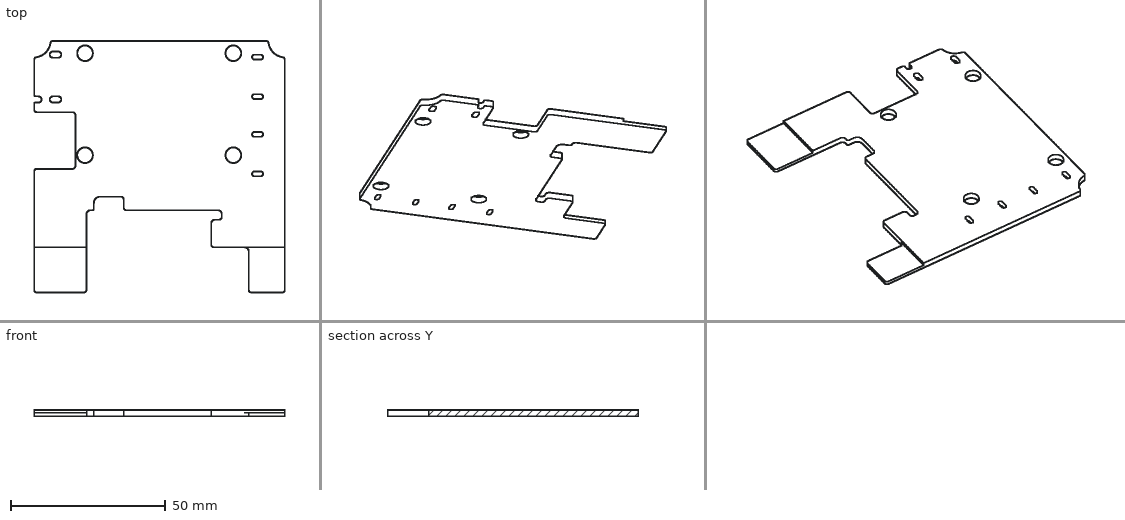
import cadquery as cq
import math

WIDTH = 81.206
DEPTH = 81.45
THICKNESS = 2.1
CORNER_RADIUS = 0.9

TAB_THICKNESS = 1.2
TAB_LENGTH = 14.6
LEFT_TAB_WIDTH = 17.0
RIGHT_TAB_WIDTH = 11.75

SCALLOP_RADIUS = 5.3

SIDE_CUTOUT_DEPTH = 13.35
SIDE_CUTOUT_FRONT = 40.05
SIDE_CUTOUT_BACK = 58.35

OPENING_BACK = 26.6
RECESS_LEFT = 19.4
RECESS_RIGHT = 29.0
RECESS_BACK = 31.0
RECESS_LARGE_RADIUS = 2.0
OPENING_RADIUS = 1.25
ARM_STEP_RADIUS = 0.5
SHOULDER_LEFT = 57.3
SHOULDER_BACK = 23.6
UNDERCUT_RIGHT = 60.75

HOLE_DIAMETER = 5.0
HOLE_SPACING_X = 48.0
HOLE_SPACING_Y = 33.0
HOLE_PATTERN_CENTER = (40.5, 60.95)

RIGHT_SLOT_LENGTH = 3.5
RIGHT_SLOT_WIDTH = 1.5
RIGHT_SLOT_X = 72.35
RIGHT_SLOT_ROW_CENTER_Y = 57.3
RIGHT_SLOT_INNER_OFFSET = 6.1
RIGHT_SLOT_OUTER_OFFSET = 18.9

LEFT_SLOT_LENGTH = 3.7
LEFT_SLOT_WIDTH = 1.9
LEFT_SLOT_X = 6.95
LEFT_SLOT_FRONT_Y = 62.5
LEFT_SLOT_BACK_Y = 77.0
NOTCH_DEPTH = 2.4
NOTCH_MOUTH_RADIUS = 0.5

CUT_HEIGHT = 2 * THICKNESS
CORNER_PICK_REACH = 0.05


def round_corners(body, corners, radius):
    """Round the vertical edges that stand at the given (x, y) corners."""
    for x, y in corners:
        selector = cq.selectors.BoxSelector(
            (x - CORNER_PICK_REACH, y - CORNER_PICK_REACH, -THICKNESS),
            (x + CORNER_PICK_REACH, y + CORNER_PICK_REACH, CUT_HEIGHT),
        )
        body = body.edges("|Z").edges(selector).fillet(radius)
    return body


def make_outline():
    """Full-thickness plate with its stepped outline and rounded corners."""
    right_tab_left = WIDTH - RIGHT_TAB_WIDTH
    scallop_front = DEPTH - SCALLOP_RADIUS
    scallop_mid = SCALLOP_RADIUS * math.cos(math.radians(45))
    outer = [(0, 0), (LEFT_TAB_WIDTH, 0), (right_tab_left, 0), (WIDTH, 0)]
    scallop_ends = [
        (WIDTH, scallop_front),
        (WIDTH - SCALLOP_RADIUS, DEPTH),
        (SCALLOP_RADIUS, DEPTH),
        (0, scallop_front),
    ]
    cutout = [
        (0, SIDE_CUTOUT_BACK),
        (SIDE_CUTOUT_DEPTH, SIDE_CUTOUT_BACK),
        (SIDE_CUTOUT_DEPTH, SIDE_CUTOUT_FRONT),
        (0, SIDE_CUTOUT_FRONT),
    ]
    opening = [
        (LEFT_TAB_WIDTH, OPENING_BACK),
        (RECESS_LEFT, OPENING_BACK),
        (RECESS_LEFT, RECESS_BACK),
        (RECESS_RIGHT, RECESS_BACK),
        (RECESS_RIGHT, OPENING_BACK),
        (UNDERCUT_RIGHT, OPENING_BACK),
        (UNDERCUT_RIGHT, SHOULDER_BACK),
        (SHOULDER_LEFT, SHOULDER_BACK),
        (SHOULDER_LEFT, TAB_LENGTH),
        (right_tab_left, TAB_LENGTH),
    ]
    sketch = cq.Workplane("XY").moveTo(*outer[0]).lineTo(*outer[1])
    for point in opening + outer[2:] + scallop_ends[:1]:
        sketch = sketch.lineTo(*point)
    sketch = sketch.threePointArc((WIDTH - scallop_mid, DEPTH - scallop_mid), scallop_ends[1])
    sketch = sketch.lineTo(*scallop_ends[2])
    sketch = sketch.threePointArc((scallop_mid, DEPTH - scallop_mid), scallop_ends[3])
    for point in cutout:
        sketch = sketch.lineTo(*point)
    plate = sketch.close().extrude(THICKNESS)

    arm_corner, arm_step_corner, large_corner = opening[:3]
    undercut_corner, shoulder_corner, tab_corner = opening[5], opening[7], opening[9]
    medium_corners = [arm_corner, undercut_corner, shoulder_corner, tab_corner]
    special_corners = medium_corners + [arm_step_corner, large_corner]
    small_corners = [corner for corner in opening if corner not in special_corners]
    plate = round_corners(plate, outer + scallop_ends + cutout + small_corners, CORNER_RADIUS)
    plate = round_corners(plate, medium_corners, OPENING_RADIUS)
    plate = round_corners(plate, [arm_step_corner], ARM_STEP_RADIUS)
    return round_corners(plate, [large_corner], RECESS_LARGE_RADIUS)


def thin_tabs(body):
    """Lower the top face of both tabs."""
    step = cq.Workplane("XY").box(WIDTH, TAB_LENGTH, THICKNESS, centered=False)
    return body.cut(step.translate((0, 0, TAB_THICKNESS)))


def cut_holes(body):
    """Drill the four mounting holes."""
    holes = (
        cq.Workplane("XY")
        .center(*HOLE_PATTERN_CENTER)
        .rarray(HOLE_SPACING_X, HOLE_SPACING_Y, 2, 2)
        .circle(HOLE_DIAMETER / 2)
        .extrude(CUT_HEIGHT)
    )
    return body.cut(holes)


def cut_slots(body, points, length, width):
    """Cut round-ended slots, long in X, through the plate."""
    slots = cq.Workplane("XY").pushPoints(points).slot2D(length, width).extrude(CUT_HEIGHT)
    return body.cut(slots)


def cut_notch(body):
    """Cut the round-ended notch that opens through the left edge."""
    center = (0, LEFT_SLOT_FRONT_Y)
    body = cut_slots(body, [center], 2 * NOTCH_DEPTH, LEFT_SLOT_WIDTH)
    mouth = [(0, LEFT_SLOT_FRONT_Y + side * LEFT_SLOT_WIDTH / 2) for side in (-1, 1)]
    return round_corners(body, mouth, NOTCH_MOUTH_RADIUS)


right_slots = [
    (RIGHT_SLOT_X, RIGHT_SLOT_ROW_CENTER_Y + side * offset)
    for offset in (RIGHT_SLOT_INNER_OFFSET, RIGHT_SLOT_OUTER_OFFSET)
    for side in (-1, 1)
]
left_slots = [(LEFT_SLOT_X, LEFT_SLOT_FRONT_Y), (LEFT_SLOT_X, LEFT_SLOT_BACK_Y)]

result = make_outline()
result = thin_tabs(result)
result = cut_holes(result)
result = cut_slots(result, right_slots, RIGHT_SLOT_LENGTH, RIGHT_SLOT_WIDTH)
result = cut_slots(result, left_slots, LEFT_SLOT_LENGTH, LEFT_SLOT_WIDTH)
result = cut_notch(result)